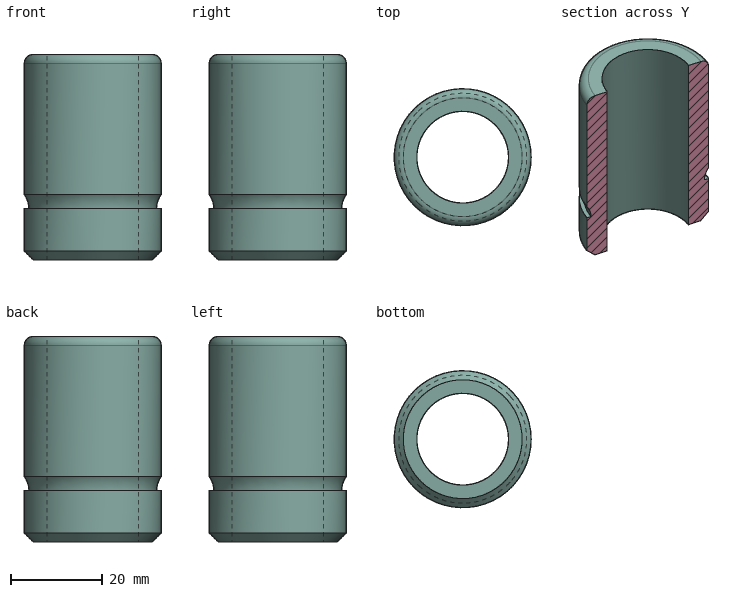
import cadquery as cq
import math

OUTER_RADIUS = 15.0
BORE_RADIUS = 10.0
LENGTH = 45.0

TOP_FILLET = 2.0
BOTTOM_CHAMFER = 2.0

GROOVE_BOTTOM_Z = 11.3
GROOVE_HEIGHT = 3.0
GROOVE_ARC_RADIUS = 5.0


def make_sleeve():
    """Plain tube with a rounded top rim and a chamfered bottom rim."""
    body = cq.Workplane("XY").circle(OUTER_RADIUS).extrude(LENGTH)
    body = body.faces(">Z").edges().fillet(TOP_FILLET)
    body = body.faces("<Z").edges().chamfer(BOTTOM_CHAMFER)
    bore = cq.Workplane("XY").circle(BORE_RADIUS).extrude(LENGTH)
    return body.cut(bore)


def make_groove():
    """Ring removed by the groove; its arc is centred level with the lower shoulder."""
    arc_centre_radius = OUTER_RADIUS + math.sqrt(GROOVE_ARC_RADIUS**2 - GROOVE_HEIGHT**2)
    floor_radius = arc_centre_radius - GROOVE_ARC_RADIUS
    half_angle = math.asin(GROOVE_HEIGHT / GROOVE_ARC_RADIUS) / 2
    arc_middle = (
        arc_centre_radius - GROOVE_ARC_RADIUS * math.cos(half_angle),
        GROOVE_BOTTOM_Z + GROOVE_ARC_RADIUS * math.sin(half_angle),
    )
    arc_top = (OUTER_RADIUS, GROOVE_BOTTOM_Z + GROOVE_HEIGHT)
    profile = (
        cq.Workplane("XZ")
        .moveTo(OUTER_RADIUS, GROOVE_BOTTOM_Z)
        .lineTo(floor_radius, GROOVE_BOTTOM_Z)
        .threePointArc(arc_middle, arc_top)
        .close()
    )
    return profile.revolve(360, (0, 0, 0), (0, 1, 0))


result = make_sleeve().cut(make_groove())